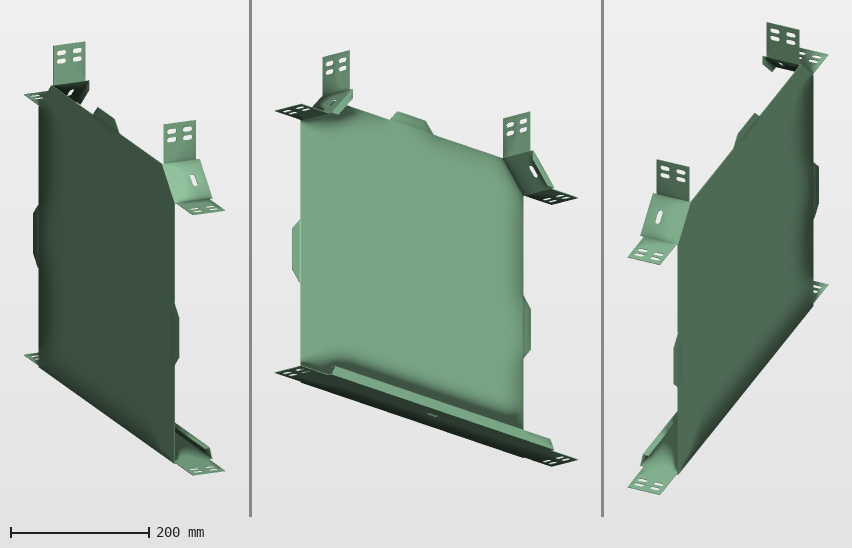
import cadquery as cq
import math

LENGTH = 610.5
DEPTH = 61.0
HEIGHT = 503.5
SHEET = 1.0

TAB_LENGTH = 60.0
CORNER = 46.0
PANEL_HALF = LENGTH / 2 - TAB_LENGTH
PANEL_TOP = HEIGHT - TAB_LENGTH
SIDE_TOP = PANEL_TOP - CORNER
TOP_HALF = PANEL_HALF - CORNER
PANEL_FRONT = SHEET

TAB_FRONT = 3.5
TAB_BACK = 55.0
TAB_MID = (TAB_FRONT + TAB_BACK) / 2
TAB_SLOT_LENGTH = 14.5
SLOT_WIDTH = 7.5
SLOT_ROW_PITCH = 25.0
SLOT_COLUMN_PITCH = 13.0
SLOT_END_DISTANCE = 12.0
WALL_SLOT_LENGTH = 20.0
WALL_SLOT_Y = 41.5

CORNER_FOLD_END = 14.0
BOTTOM_FOLD_HEIGHT = 14.5
BOTTOM_FOLD_INSET = 8.5
BOTTOM_RETURN = 9.0

LIP_REACH = 18.0
LIP_TIP_WIDTH = 61.0
LIP_ROOT_WIDTH = 97.5
JOGGLE_RUN = 2.0


def prism_along_y(points, front, back):
    """Extrude an XZ outline from y = front to y = back."""
    return cq.Workplane("XZ", origin=(0, front, 0)).polyline(points).close().extrude(front - back)


def box_between(low, high):
    """Axis-aligned box between two opposite corners."""
    size = [b - a for a, b in zip(low, high)]
    return cq.Workplane("XY").box(*size, centered=False).translate(low)


def slot_cutter(centre, normal, direction, length):
    """Round-ended cutter crossing one sheet, its long axis along `direction`."""
    plane = cq.Plane(origin=centre, xDir=direction, normal=normal)
    return cq.Workplane(plane).slot2D(length, SLOT_WIDTH).extrude(2 * SHEET, both=True)


def mirrored_pair(shape):
    return shape.union(shape.mirror("YZ"))


def tab_slots(end, inward, normal):
    """Four slots of a tab, measured from its free end along the inward direction."""
    cutters = cq.Workplane("XY")
    for column in range(2):
        distance = SLOT_END_DISTANCE + column * SLOT_COLUMN_PITCH
        x = end[0] + inward[0] * distance
        z = end[1] + inward[1] * distance
        for side in (-1, 1):
            y = TAB_MID + side * SLOT_ROW_PITCH / 2
            cutters = cutters.add(slot_cutter((x, y, z), normal, (0, 1, 0), TAB_SLOT_LENGTH))
    return cutters.combine()


def make_panel():
    outline = [
        (-PANEL_HALF, 0),
        (PANEL_HALF, 0),
        (PANEL_HALF, SIDE_TOP),
        (TOP_HALF, PANEL_TOP),
        (-TOP_HALF, PANEL_TOP),
        (-PANEL_HALF, SIDE_TOP),
    ]
    return prism_along_y(outline, PANEL_FRONT, PANEL_FRONT + SHEET)


def make_corner():
    """Left upper corner: 45 degree wall, its back fold and the two tabs bent from it."""
    miter = SHEET * math.tan(math.radians(22.5))
    low_outer = (-PANEL_HALF, SIDE_TOP)
    low_inner = (-PANEL_HALF + miter, SIDE_TOP - SHEET)
    high_outer = (-TOP_HALF, PANEL_TOP)
    high_inner = (-TOP_HALF + SHEET, PANEL_TOP - miter)

    wall = prism_along_y([low_outer, high_outer, high_inner, low_inner], PANEL_FRONT, DEPTH)
    side_tab = prism_along_y(
        [(-LENGTH / 2, SIDE_TOP), low_outer, low_inner, (-LENGTH / 2, SIDE_TOP - SHEET)],
        TAB_FRONT, TAB_BACK,
    )
    top_tab = prism_along_y(
        [(-TOP_HALF, HEIGHT), high_outer, high_inner, (-TOP_HALF + SHEET, HEIGHT)],
        TAB_FRONT, TAB_BACK,
    )
    fold_side = (low_inner[0] + CORNER_FOLD_END, low_inner[1])
    fold_top = (high_inner[0], high_inner[1] - CORNER_FOLD_END)
    fold = prism_along_y(
        [low_outer, high_outer, high_inner, fold_top, fold_side, low_inner],
        DEPTH - SHEET, DEPTH,
    )
    wall_middle = (-PANEL_HALF + CORNER / 2, WALL_SLOT_Y, SIDE_TOP + CORNER / 2)

    corner = wall.union(side_tab).union(top_tab).union(fold)
    corner = corner.cut(slot_cutter(wall_middle, (-1, 0, 1), (1, 0, 1), WALL_SLOT_LENGTH))
    corner = corner.cut(tab_slots((-LENGTH / 2, SIDE_TOP), (1, 0), (0, 0, 1)))
    return corner.cut(tab_slots((-TOP_HALF, HEIGHT), (0, -1), (1, 0, 0)))


def make_bottom_wall():
    """Bottom wall with an upturned, inward-returned back edge and a tab at each end."""
    wall = box_between((-PANEL_HALF, PANEL_FRONT, 0), (PANEL_HALF, DEPTH, SHEET))
    fold_half = PANEL_HALF - BOTTOM_FOLD_INSET
    fold = prism_along_y(
        [
            (-PANEL_HALF, 0),
            (PANEL_HALF, 0),
            (fold_half, BOTTOM_FOLD_HEIGHT),
            (-fold_half, BOTTOM_FOLD_HEIGHT),
        ],
        DEPTH - SHEET, DEPTH,
    )
    hem = box_between(
        (-fold_half, DEPTH - BOTTOM_RETURN, BOTTOM_FOLD_HEIGHT - SHEET),
        (fold_half, DEPTH, BOTTOM_FOLD_HEIGHT),
    )
    tab = box_between((-LENGTH / 2, TAB_FRONT, 0), (-PANEL_HALF, TAB_BACK, SHEET))
    tab = tab.cut(tab_slots((-LENGTH / 2, 0), (1, 0), (0, 0, 1)))

    bottom = wall.union(fold).union(hem).union(mirrored_pair(tab))
    return bottom.cut(slot_cutter((0, WALL_SLOT_Y, 0), (0, 0, 1), (1, 0, 0), WALL_SLOT_LENGTH))


def make_lip():
    """Lip reaching up from z = 0, centred on x = 0, stepped forward by one sheet."""
    root_half = LIP_ROOT_WIDTH / 2
    tip_half = LIP_TIP_WIDTH / 2
    profile = [
        (PANEL_FRONT, -SHEET),
        (PANEL_FRONT, 0),
        (0, JOGGLE_RUN),
        (0, LIP_REACH),
        (SHEET, LIP_REACH),
        (SHEET, JOGGLE_RUN),
        (PANEL_FRONT + SHEET, 0),
        (PANEL_FRONT + SHEET, -SHEET),
    ]
    strip = cq.Workplane("YZ").polyline(profile).close().extrude(root_half, both=True)
    outline = [
        (-root_half, -SHEET),
        (root_half, -SHEET),
        (root_half, 0),
        (tip_half, LIP_REACH),
        (-tip_half, LIP_REACH),
        (-root_half, 0),
    ]
    return strip.intersect(prism_along_y(outline, 0, PANEL_FRONT + SHEET))


lip = make_lip()
top_lip = lip.translate((0, 0, PANEL_TOP))
left_lip = lip.rotate((0, 0, 0), (0, 1, 0), -90).translate((-PANEL_HALF, 0, SIDE_TOP / 2))

result = (
    make_panel()
    .union(make_bottom_wall())
    .union(mirrored_pair(make_corner()))
    .union(top_lip)
    .union(mirrored_pair(left_lip))
)